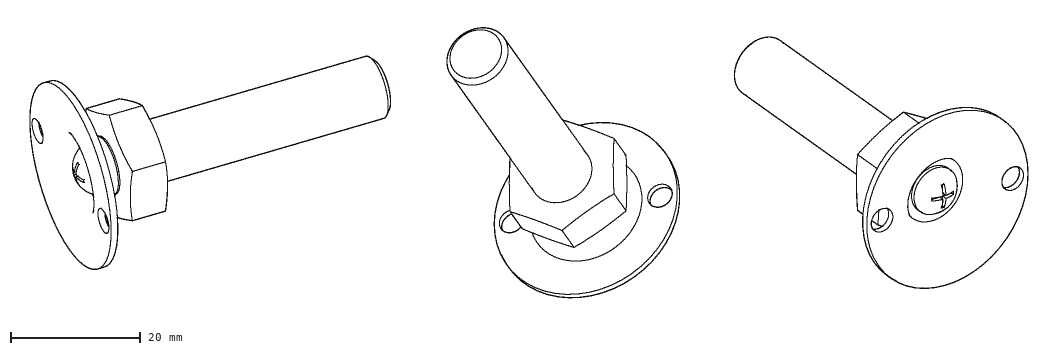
import cadquery as cq
import math

total_length = 52.5
plate_diameter = 30.0
plate_front = 0.0
plate_thickness = 1.15
mount_hole_diameter = 4.0
mount_hole_offset = 12.15
shaft_diameter = 10.05
shaft_chamfer = 0.8
nut_width = 17.0
nut_height = 6.35
nut_start = 6.25
nut_chamfer_angle = 15.0
neck_radius = 4.65
neck_length = 0.25
cone_base_radius = 9.2
cup_floor_radius = 5.5
cup_depth = 4.0
head_radius = 4.0
head_rim_height = 0.7
dome_height = 2.5
slot_length = 4.05
slot_width = 0.5
slot_depth = 0.4

plate_back = plate_front + plate_thickness
cup_floor = plate_front + cup_depth
flare_radius = cup_depth
dome_base = cup_floor - head_rim_height
head_tip = dome_base - dome_height
dome_radius = (head_radius**2 + dome_height**2) / (2 * dome_height)
nut_end = nut_start + nut_height
neck_start = nut_start - neck_length


def revolve_about_y(profile):
    return profile.close().revolve(360, (0, 0, 0), (0, 1, 0))


def cylinder(diameter, start, end, x=0):
    """Cylinder parallel to Y, from start to end."""
    return cq.Workplane("XZ", origin=(x, start, 0)).circle(diameter / 2).extrude(start - end)


def make_foot():
    """Flat flange, cone and neck, with a trumpet-shaped cup open to the front."""
    plate_radius = plate_diameter / 2
    arc_reach = flare_radius * math.sqrt(0.5)
    rim_radius = cup_floor_radius + flare_radius
    foot = revolve_about_y(
        cq.Workplane("XY")
        .moveTo(0, cup_floor)
        .lineTo(cup_floor_radius, cup_floor)
        .threePointArc((rim_radius - arc_reach, cup_floor - arc_reach), (rim_radius, plate_front))
        .lineTo(plate_radius, plate_front)
        .lineTo(plate_radius, plate_back)
        .lineTo(cone_base_radius, plate_back)
        .lineTo(neck_radius, neck_start)
        .lineTo(neck_radius, nut_start)
        .lineTo(0, nut_start)
    )
    for side in (-1, 1):
        foot = foot.cut(cylinder(mount_hole_diameter, plate_front, plate_back, side * mount_hole_offset))
    return foot


def make_nut():
    """Hexagon with two flats facing X, its corners bevelled by a double cone."""
    corner_radius = nut_width / math.sqrt(3)
    face_radius = nut_width / 2
    bevel = (corner_radius - face_radius) * math.tan(math.radians(nut_chamfer_angle))
    corners = [
        (corner_radius * math.sin(math.radians(60 * i)), corner_radius * math.cos(math.radians(60 * i)))
        for i in range(6)
    ]
    hexagon = cq.Workplane("XZ", origin=(0, nut_start, 0)).polyline(corners).close().extrude(-nut_height)
    envelope = revolve_about_y(
        cq.Workplane("XY")
        .moveTo(0, nut_start)
        .lineTo(face_radius, nut_start)
        .lineTo(corner_radius, nut_start + bevel)
        .lineTo(corner_radius, nut_end - bevel)
        .lineTo(face_radius, nut_end)
        .lineTo(0, nut_end)
    )
    return hexagon.intersect(envelope)


def make_shaft():
    return cylinder(shaft_diameter, nut_start, total_length).faces(">Y").chamfer(shaft_chamfer)


def make_head():
    """Screw head on the cup floor: a short cylindrical rim under a spherical cap."""
    half_angle = math.asin(head_radius / dome_radius) / 2
    arc_mid = (
        dome_radius * math.sin(half_angle),
        head_tip + dome_radius * (1 - math.cos(half_angle)),
    )
    return revolve_about_y(
        cq.Workplane("XY")
        .moveTo(0, head_tip)
        .threePointArc(arc_mid, (head_radius, dome_base))
        .lineTo(head_radius, cup_floor)
        .lineTo(0, cup_floor)
    )


def make_cross_slot():
    """Flat-bottomed cross recess, slot_depth below the dome surface at the ends of its arms."""
    arm_end_drop = dome_radius - math.sqrt(dome_radius**2 - (slot_length / 2) ** 2)
    plane = cq.Workplane("XZ", origin=(0, head_tip, 0))
    cut_depth = arm_end_drop + slot_depth
    across = plane.rect(slot_length, slot_width).extrude(-cut_depth)
    return across.union(plane.rect(slot_width, slot_length).extrude(-cut_depth))


result = make_foot().union(make_nut()).union(make_shaft()).union(make_head()).cut(make_cross_slot())